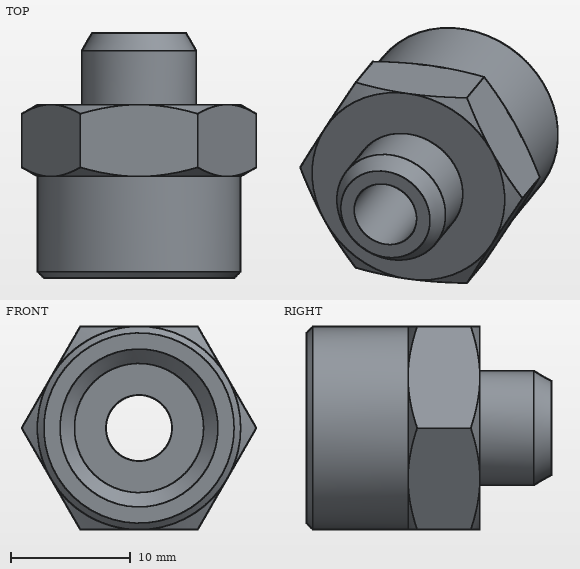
import cadquery as cq
import math


socket_length = 8.5
hex_length = 6.0
spigot_length = 6.0
hex_start = socket_length
hex_end = hex_start + hex_length
total_length = hex_end + spigot_length

hex_sides = 6
hex_across_flats = 17.0
hex_across_corners = hex_across_flats / math.cos(math.radians(180 / hex_sides))
hex_chamfer_angle = 30.0
cone_overrun = 1.0
socket_radius = hex_across_flats / 2
socket_chamfer = 0.55
spigot_radius = 4.8
spigot_taper_length = 1.5
spigot_taper_angle = 30.0

through_radius = 2.75
bore_radius = 5.4
bore_depth = socket_length
mouth_radius = 6.6
mouth_depth = 1.2


def revolve_about_y(profile):
    """Turn a closed list of (radius, y) points about the Y axis."""
    return cq.Workplane("XY").polyline(profile).close().revolve(360, (0, 0, 0), (0, 1, 0))


def make_socket():
    return revolve_about_y([
        (0, 0),
        (socket_radius - socket_chamfer, 0),
        (socket_radius, socket_chamfer),
        (socket_radius, hex_start),
        (0, hex_start),
    ])


def make_hex():
    """Hexagon with corners on the X axis, its corners turned off conically at both faces."""
    prism = (
        cq.Workplane("XZ", origin=(0, hex_end, 0))
        .polygon(hex_sides, hex_across_corners)
        .extrude(hex_length)
    )
    cone_radius = hex_across_corners / 2 + cone_overrun
    cone_drop = (cone_radius - socket_radius) * math.tan(math.radians(hex_chamfer_angle))
    envelope = revolve_about_y([
        (0, hex_start),
        (socket_radius, hex_start),
        (cone_radius, hex_start + cone_drop),
        (cone_radius, hex_end - cone_drop),
        (socket_radius, hex_end),
        (0, hex_end),
    ])
    return prism.intersect(envelope)


def make_spigot():
    tip_radius = spigot_radius - spigot_taper_length * math.tan(math.radians(spigot_taper_angle))
    return revolve_about_y([
        (0, hex_end),
        (spigot_radius, hex_end),
        (spigot_radius, total_length - spigot_taper_length),
        (tip_radius, total_length),
        (0, total_length),
    ])


def make_bore():
    """Through hole, wider socket bore and its conical mouth as one cutter."""
    return revolve_about_y([
        (0, 0),
        (mouth_radius, 0),
        (bore_radius, mouth_depth),
        (bore_radius, bore_depth),
        (through_radius, bore_depth),
        (through_radius, total_length),
        (0, total_length),
    ])


result = make_socket().union(make_hex()).union(make_spigot()).cut(make_bore())